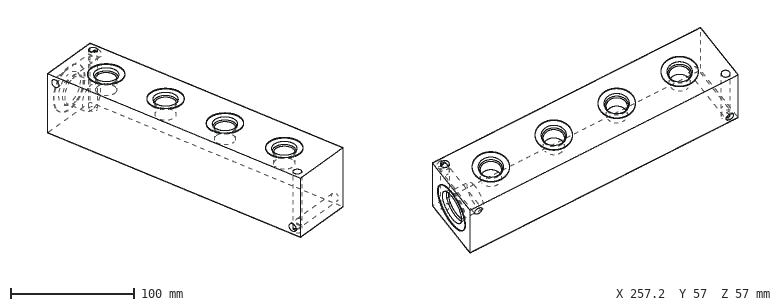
import cadquery as cq
import math

length = 257.2
side = 57.0

mount_diameter = 7.2
mount_end_inset = 8.0
mount_side_inset = 6.5
mount_x = length / 2 - mount_end_inset
mount_offset = side / 2 - mount_side_inset

outlet_count = 4
outlet_row_length = 181.0
outlet_pitch = outlet_row_length / (outlet_count - 1)

seat_angle = 15.0
spotface_depth = 0.8


def port_cutter(spotface_diameter, mouth_diameter, seat_depth, bore_diameter, depth):
    """Stepped round cutter with its mouth at Z = 0, reaching down to a flat floor."""
    spotface_radius = spotface_diameter / 2
    mouth_radius = mouth_diameter / 2
    bore_radius = bore_diameter / 2
    throat_radius = mouth_radius - seat_depth * math.tan(math.radians(seat_angle))
    seat_bottom = spotface_depth + seat_depth
    bore_top = seat_bottom + throat_radius - bore_radius
    half_profile = [
        (0, 0),
        (spotface_radius, 0),
        (spotface_radius, -spotface_depth),
        (mouth_radius, -spotface_depth),
        (throat_radius, -seat_bottom),
        (bore_radius, -bore_top),
        (bore_radius, -depth),
        (0, -depth),
    ]
    return cq.Workplane("XZ").polyline(half_profile).close().revolve(360, (0, 0, 0), (0, 1, 0))


def mount_holes(plane):
    """Pair of through holes in the upper-left and lower-right corners of a side face."""
    corners = [(-mount_x, mount_offset), (mount_x, -mount_offset)]
    return cq.Workplane(plane).pushPoints(corners).circle(mount_diameter / 2).extrude(side / 2, both=True)


result = cq.Workplane("XY").box(length, side, side)

outlet = port_cutter(
    spotface_diameter=30.3, mouth_diameter=20.5, seat_depth=2.5, bore_diameter=17.2, depth=15.5
)
first_outlet_x = -outlet_row_length / 2
for index in range(outlet_count):
    outlet_x = first_outlet_x + index * outlet_pitch
    result = result.cut(outlet.translate((outlet_x, 0, side / 2)))

inlet = port_cutter(
    spotface_diameter=41.5, mouth_diameter=29.0, seat_depth=3.3, bore_diameter=24.7, depth=23.1
)
inlet = inlet.rotate((0, 0, 0), (0, 1, 0), -90).translate((-length / 2, 0, 0))
result = result.cut(inlet)

result = result.cut(mount_holes("XY")).cut(mount_holes("XZ"))